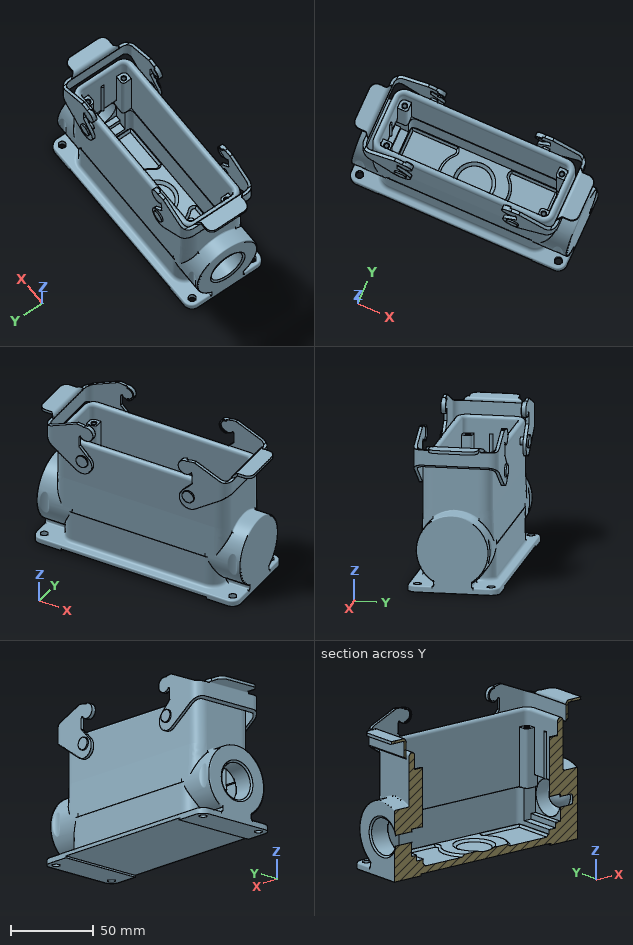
import cadquery as cq
import math

overlap = 1.5
margin = 0.1

plate_half_x = 71.6
plate_half_y = 28.5
plate_height = 4.0
plate_corner_radius = 6.0
plate_edge_radius = 1.0
foot_inner_x = 50.8
foot_height = 1.2
screw_hole_x = 66.0
screw_hole_y = 22.7
screw_hole_diameter = 4.8

lower_half_x = 55.0
lower_half_y = 22.7
lower_corner_radius = 8.5
lower_top = 26.3
base_fillet = 2.5
upper_half_x = 60.3
upper_half_y = 21.7
upper_corner_radius = 7.6
flare_top = 49.2
body_top = 79.6
wall = 4.6
rim_flat = 0.03
rim_radius = (wall - rim_flat) / 2

cavity_half_x = upper_half_x - wall
cavity_half_y = upper_half_y - wall
cavity_corner_radius = upper_corner_radius - wall
ledge_height = 30.9
well_half_x = 49.0
well_half_y = 16.8
floor_height = 7.5
floor_recess_depth = 1.5
floor_wall_taper = 45
floor_pocket_half_x = 48.7
floor_pocket_half_y = 16.3
floor_disc_diameter = 26.0
floor_disc_bottom_diameter = 21.7
island_reach = 21.7
island_arc_end_x = 17.2
island_arc_end_y = 10.7
island_neck_x = 16.3
island_neck_y = 13.5
island_edge_x = 17.8

pillar_inner_x = 49.2
pillar_inner_y = 10.5
pillar_top = 68.7
pillar_edge_radius = 1.8
pillar_hole_x = 52.2
pillar_hole_y = 13.5
pillar_hole_diameter = 2.7
pillar_hole_mouth = 3.5
pillar_hole_depth = 14.9
pillar_hole_chamfer_angle = 90
end_rib_radius = 1.0

boss_radius = 22.6
boss_height = 26.2
boss_bulge = 0.03
flare_half_y = boss_radius - boss_bulge
boss_edge_radius = 0.7
web_half_y = 11.7
entry_diameter = 23.5
entry_mouth_diameter = 26.0
entry_mouth_depth = 0.9
boss_joint_radius = 0.9
recess_half_y = 12.2
recess_low = 10.4
recess_top = 38.6
recess_end_x = 54.2
entry_end_x = 58.0
blind_end_x = 68.7
blind_flat_diameter = 19.0
dome_radius = 8.0
dome_rib_width = 1.2
dome_rib_height = 1.5
scallop_x = 65.8
scallop_radius = 4.8
scallop_depth = 1.3
scallop_edge_radius = 0.7

lever_outer_y = 26.3
lever_thickness = 2.1
lever_bend_radius = 6.2
lever_end_x = 64.3
lever_low = 77.7
lever_high = 87.1
lever_peak_x = 41.3
lever_peak = 95.8
lever_back_x = 61.7
pivot_x = 37.2
pivot_height = 69.8
pivot_end_x = 37.6
pivot_end_height = 67.6
pivot_end_radius = 7.0
throat_x = 39.7
throat_low = 79.8
throat_high = 86.0
throat_radius = 1.8
hook_x = 34.8
hook_height = 90.3
hook_radius = 4.9
hook_lip_width = 0.9
hook_lip_height = 0.9
hook_top_x = 37.2
hook_top = 95.4
pin_diameter = 4.8
pin_head_diameter = 8.0
pin_head_thickness = 1.0

tab_end_x = 74.3
tab_thickness = 2.0
tab_bend_radius = 0.7
tab_half_y = 15.2
tab_root_half_y = 18.3
tab_corner_radius = 4.8


def rounded_block(half_x, half_y, bottom, top, radius):
    """Upright block centred on the Z axis with rounded vertical edges."""
    block = cq.Workplane("XY").workplane(offset=bottom).rect(2 * half_x, 2 * half_y).extrude(top - bottom)
    return block.edges("|Z").fillet(radius)


def box_between(x0, x1, y0, y1, z0, z1):
    return cq.Workplane("XY").box(x1 - x0, y1 - y0, z1 - z0, centered=False).translate((x0, y0, z0))


def x_cylinder(x0, x1, diameter):
    """Cylinder along X on the cable entry axis."""
    start = cq.Workplane("YZ", origin=(x0, 0, boss_height))
    return start.circle(diameter / 2).extrude(x1 - x0)


def mirrored_x(solid):
    return solid.union(solid.mirror("YZ"))


def four_corners(solid):
    pair = solid.union(solid.mirror("XZ"))
    return mirrored_x(pair)


def make_base():
    """Plate with the lower body standing on it."""
    plate = rounded_block(plate_half_x, plate_half_y, 0, plate_height, plate_corner_radius)
    plate = plate.faces(">Z").edges().fillet(plate_edge_radius)
    lower = rounded_block(lower_half_x, lower_half_y, 0, lower_top, lower_corner_radius)
    base = plate.union(lower)
    joint = cq.selectors.BoxSelector(
        (-lower_half_x - margin, -lower_half_y - margin, plate_height - margin),
        (lower_half_x + margin, lower_half_y + margin, plate_height + margin),
        boundingbox=True,
    )
    return base.edges(joint).fillet(base_fillet)


def make_upper_body():
    """Flared middle part and straight upper part."""
    lower_rect = cq.Sketch().rect(2 * upper_half_x, 2 * flare_half_y).vertices().fillet(upper_corner_radius)
    upper_rect = cq.Sketch().rect(2 * upper_half_x, 2 * upper_half_y).vertices().fillet(upper_corner_radius)
    flare = (
        cq.Workplane("XY")
        .placeSketch(
            lower_rect.moved(cq.Location(cq.Vector(0, 0, lower_top))),
            upper_rect.moved(cq.Location(cq.Vector(0, 0, flare_top))),
        )
        .loft()
    )
    straight = rounded_block(upper_half_x, upper_half_y, flare_top, body_top, upper_corner_radius)
    return flare.union(straight)


def make_web():
    """Upright web under the +X boss, with concave rounding along its foot."""
    foot_half_y = web_half_y + boss_joint_radius
    rounding_top = plate_height + boss_joint_radius
    diagonal = boss_joint_radius * (1 - math.sqrt(0.5))
    start_x = lower_half_x - lower_corner_radius
    return (
        cq.Workplane("YZ", origin=(start_x, 0, 0))
        .moveTo(-foot_half_y, 0)
        .lineTo(-foot_half_y, plate_height)
        .threePointArc((-web_half_y - diagonal, plate_height + diagonal), (-web_half_y, rounding_top))
        .lineTo(-web_half_y, boss_height)
        .lineTo(web_half_y, boss_height)
        .lineTo(web_half_y, rounding_top)
        .threePointArc((web_half_y + diagonal, plate_height + diagonal), (foot_half_y, plate_height))
        .lineTo(foot_half_y, 0)
        .close()
        .extrude(plate_half_x - start_x)
    )


def make_bosses():
    """Round boss with its supporting web, on both ends."""
    boss = x_cylinder(lower_half_x - lower_corner_radius, plate_half_x, 2 * boss_radius)
    boss = boss.faces(">X").edges().fillet(boss_edge_radius)
    boss = boss.union(make_web())
    scallop_offset = boss_radius - scallop_depth + scallop_radius
    scallop = (
        cq.Workplane("XY")
        .pushPoints([(scallop_x, -scallop_offset), (scallop_x, scallop_offset)])
        .circle(scallop_radius)
        .extrude(2 * boss_height)
    )
    boss = boss.cut(scallop)
    boss = boss.edges(cq.selectors.BoxSelector(
        (scallop_x - scallop_radius, -scallop_offset, boss_height - boss_radius / 2),
        (scallop_x + scallop_radius, scallop_offset, boss_height + boss_radius / 2),
        boundingbox=True,
    )).fillet(scallop_edge_radius)
    return mirrored_x(boss)


def make_boss_collars():
    """Concave rounding where each boss leaves the flat end of the upper body."""
    diagonal = boss_joint_radius * (1 - math.sqrt(0.5))
    outer_radius = boss_radius + boss_joint_radius
    flat_half_y = upper_half_y - upper_corner_radius
    collar = (
        cq.Workplane("XY")
        .moveTo(upper_half_x - wall, boss_radius - wall)
        .lineTo(upper_half_x - wall, outer_radius)
        .lineTo(upper_half_x, outer_radius)
        .threePointArc((upper_half_x + diagonal, boss_radius + diagonal),
                       (upper_half_x + boss_joint_radius, boss_radius))
        .lineTo(upper_half_x + boss_joint_radius, boss_radius - wall)
        .close()
        .revolve(360, (0, 0, 0), (1, 0, 0))
        .translate((0, 0, boss_height))
    )
    limits = box_between(0, plate_half_x, -flat_half_y, flat_half_y, boss_height, body_top)
    return mirrored_x(collar.intersect(limits))


def make_cavity():
    """Open cavity, its narrower well, and the stepped end recesses that meet the entries."""
    main = rounded_block(cavity_half_x, cavity_half_y, ledge_height, body_top, cavity_corner_radius)
    well = rounded_block(well_half_x, well_half_y, floor_height, ledge_height, cavity_corner_radius)
    recess = box_between(-recess_end_x, recess_end_x, -recess_half_y, recess_half_y, recess_low, recess_top)
    entry_low = boss_height - recess_half_y
    entry = box_between(-entry_end_x, entry_end_x, -recess_half_y, recess_half_y, entry_low, recess_top)
    return main.union(well).union(recess).union(entry)


def make_floor_recesses():
    """Two pockets beside a waisted island, and a tapered disc in the island."""
    bottom = floor_height - floor_recess_depth
    pocket = (
        cq.Workplane("XY")
        .workplane(offset=floor_height)
        .moveTo(floor_pocket_half_x, -floor_pocket_half_y)
        .lineTo(island_edge_x, -floor_pocket_half_y)
        .threePointArc((island_neck_x, -island_neck_y), (island_arc_end_x, -island_arc_end_y))
        .threePointArc((island_reach, 0), (island_arc_end_x, island_arc_end_y))
        .threePointArc((island_neck_x, island_neck_y), (island_edge_x, floor_pocket_half_y))
        .lineTo(floor_pocket_half_x, floor_pocket_half_y)
        .close()
        .extrude(-floor_recess_depth, taper=floor_wall_taper)
    )
    disc = (
        cq.Workplane("XY")
        .workplane(offset=bottom)
        .circle(floor_disc_bottom_diameter / 2)
        .workplane(offset=floor_recess_depth)
        .circle(floor_disc_diameter / 2)
        .loft()
    )
    return mirrored_x(pocket).union(disc)


def make_pillars():
    """Four corner pillars with chamfered screw holes, and a small rib on each end wall."""
    embed = wall / 2
    pillar = box_between(
        pillar_inner_x, cavity_half_x + embed, pillar_inner_y, cavity_half_y + embed, ledge_height, pillar_top
    )
    pillar = pillar.edges("|Z and <X and <Y").fillet(pillar_edge_radius)
    pillar = (
        pillar.faces(">Z")
        .workplane(origin=(pillar_hole_x, pillar_hole_y, pillar_top))
        .cskHole(pillar_hole_diameter, pillar_hole_mouth, pillar_hole_chamfer_angle, depth=pillar_hole_depth)
    )
    rib = (
        cq.Workplane("XY", origin=(cavity_half_x, 0, recess_top))
        .circle(end_rib_radius)
        .extrude(pillar_top - recess_top)
    )
    return four_corners(pillar).union(mirrored_x(rib))


def make_entry_bores():
    """Open cable entry on the -X end and blind bore on the +X end."""
    through = x_cylinder(-plate_half_x, -entry_end_x, entry_diameter)
    mouth = (
        cq.Workplane("YZ", origin=(-plate_half_x, 0, boss_height))
        .circle(entry_mouth_diameter / 2)
        .workplane(offset=entry_mouth_depth)
        .circle(entry_diameter / 2)
        .loft()
    )
    blind = x_cylinder(entry_end_x, blind_end_x, entry_diameter)
    blind = blind.faces(">X").edges().fillet((entry_diameter - blind_flat_diameter) / 2)
    return through.union(mouth).union(blind)


def make_dome():
    """Dome on the closed bore end, with a radial rib beside it."""
    center = cq.Vector(blind_end_x, 0, boss_height)
    dome = cq.Workplane("XY").sphere(dome_radius).translate(center)
    dome = dome.intersect(x_cylinder(entry_end_x, blind_end_x + overlap, entry_diameter))
    half_width = dome_rib_width / 2
    rib = box_between(
        blind_end_x - dome_rib_height, blind_end_x + overlap,
        0, blind_flat_diameter / 2,
        boss_height - half_width, boss_height + half_width,
    )
    return dome.union(rib)


def tangent_point(from_x, from_z, side):
    """Point where a line from outside touches the round lever end."""
    dx = from_x - pivot_end_x
    dz = from_z - pivot_end_height
    distance = math.hypot(dx, dz)
    angle = math.atan2(dz, dx) + side * math.acos(pivot_end_radius / distance)
    return (
        pivot_end_x + pivot_end_radius * math.cos(angle),
        pivot_end_height + pivot_end_radius * math.sin(angle),
    )


def lever_outline():
    """Side outline of a lever, extruded across the whole width."""
    lower_tangent = tangent_point(lever_end_x, lever_low, -1)
    throat_tangent = tangent_point(throat_x, throat_low, 1)
    hook_diagonal = hook_radius / math.sqrt(2)
    outline = (
        cq.Workplane("XZ", origin=(0, lever_outer_y, 0))
        .moveTo(lever_end_x, lever_high)
        .lineTo(lever_end_x, lever_low)
        .lineTo(*lower_tangent)
        .threePointArc((pivot_end_x, pivot_end_height - pivot_end_radius), throat_tangent)
        .lineTo(throat_x, throat_low)
        .lineTo(throat_x, throat_high)
        .threePointArc((throat_x - throat_radius, throat_high + throat_radius),
                       (throat_x - 2 * throat_radius, throat_high))
        .lineTo(hook_x, hook_height)
        .lineTo(hook_x - hook_diagonal / 2, hook_height + hook_diagonal)
        .threePointArc((hook_top_x, hook_top), (lever_peak_x, lever_peak))
        .lineTo(lever_back_x, lever_high)
        .close()
        .extrude(2 * lever_outer_y)
    )
    hook = (
        cq.Workplane("XZ", origin=(hook_x, lever_outer_y, hook_height))
        .circle(hook_radius)
        .extrude(2 * lever_outer_y)
    )
    return outline.union(hook)


def make_tab():
    """Finger tab bent outwards from the top of the lever band."""
    outer_radius = tab_bend_radius + tab_thickness
    bend_x = lever_end_x + tab_bend_radius
    diagonal = math.sqrt(0.5)
    bent = (
        cq.Workplane("XZ", origin=(0, tab_root_half_y, 0))
        .moveTo(lever_end_x, lever_high - overlap)
        .lineTo(lever_end_x, lever_high)
        .threePointArc((bend_x - tab_bend_radius * diagonal, lever_high + tab_bend_radius * diagonal),
                       (bend_x, lever_high + tab_bend_radius))
        .lineTo(tab_end_x, lever_high + tab_bend_radius)
        .lineTo(tab_end_x, lever_high + outer_radius)
        .lineTo(bend_x, lever_high + outer_radius)
        .threePointArc((bend_x - outer_radius * diagonal, lever_high + outer_radius * diagonal),
                       (bend_x - outer_radius, lever_high))
        .lineTo(bend_x - outer_radius, lever_high - overlap)
        .close()
        .extrude(2 * tab_root_half_y)
    )
    plan = (
        cq.Workplane("XY")
        .polyline([
            (bend_x - outer_radius, -tab_root_half_y), (bend_x, -tab_half_y), (tab_end_x, -tab_half_y),
            (tab_end_x, tab_half_y), (bend_x, tab_half_y), (bend_x - outer_radius, tab_root_half_y),
        ])
        .close()
        .extrude(lever_peak)
        .edges("|Z and >X")
        .fillet(tab_corner_radius)
    )
    return bent.intersect(plan)


def make_lever():
    """U-shaped lever with lipped hooks, pivot pins and finger tab on the +X end."""
    inner_y = lever_outer_y - lever_thickness
    inner_x = lever_end_x - lever_thickness
    outer = rounded_block(lever_end_x, lever_outer_y, 0, lever_peak, lever_bend_radius)
    inner = rounded_block(inner_x, inner_y, 0, lever_peak, lever_bend_radius - lever_thickness)
    lever = lever_outline().intersect(outer.cut(inner))
    head_y = lever_outer_y + pin_head_thickness
    lip_half = box_between(0, hook_x, -lever_outer_y, lever_outer_y, 0, lever_peak)
    for side in (-1, 1):
        lip = (
            cq.Workplane("XZ", origin=(hook_x, side * inner_y, hook_height))
            .circle(hook_radius)
            .circle(hook_radius - hook_lip_width)
            .extrude(side * hook_lip_height)
        )
        pin_start = cq.Workplane("XZ", origin=(pivot_x, side * head_y, pivot_height))
        pin = pin_start.circle(pin_diameter / 2).extrude(side * (head_y - upper_half_y + wall / 2))
        head = pin_start.circle(pin_head_diameter / 2).extrude(side * pin_head_thickness)
        lever = lever.union(lip.intersect(lip_half)).union(pin).union(head)
    return lever.union(make_tab())


body = make_base().union(make_upper_body()).union(make_bosses())
body = body.union(make_boss_collars())
body = body.cut(make_cavity())
body = body.faces(">Z").edges().fillet(rim_radius)
body = body.union(make_pillars())
body = body.cut(make_entry_bores()).union(make_dome())
body = body.cut(make_floor_recesses())
body = body.cut(box_between(-foot_inner_x, foot_inner_x, -plate_half_y, plate_half_y, 0, foot_height))
screw_holes = (
    cq.Workplane("XY")
    .rect(2 * screw_hole_x, 2 * screw_hole_y, forConstruction=True)
    .vertices()
    .circle(screw_hole_diameter / 2)
    .extrude(plate_height)
)
body = body.cut(screw_holes)

result = body.union(mirrored_x(make_lever()))